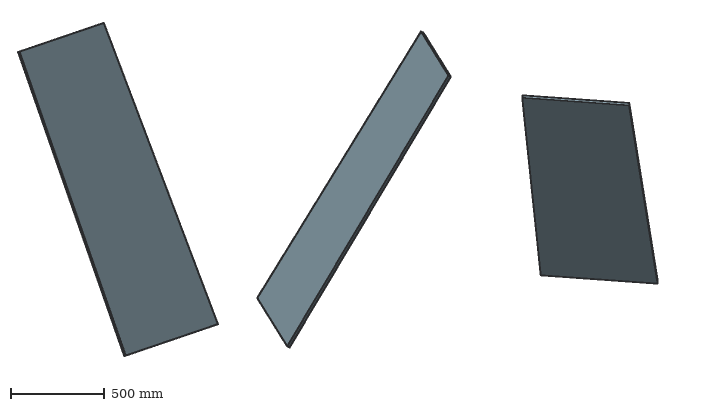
import cadquery as cq
import math

overall_height = 1478.0
thickness = 16.0
lean_from_vertical = 31.7
bottom_width = 635.0
top_width = 580.0
front_edge_taper = 1.2

lean = math.radians(lean_from_vertical)
panel_length = (overall_height - thickness * math.sin(lean)) / math.cos(lean)

panel_plane = cq.Plane(
    origin=(0, 0, 0),
    xDir=(math.sin(lean), 0, -math.cos(lean)),
    normal=(math.cos(lean), 0, math.sin(lean)),
)
outline = [
    (0, front_edge_taper),
    (panel_length, 0),
    (panel_length, bottom_width),
    (0, front_edge_taper + top_width),
]

result = cq.Workplane(panel_plane).polyline(outline).close().extrude(thickness)